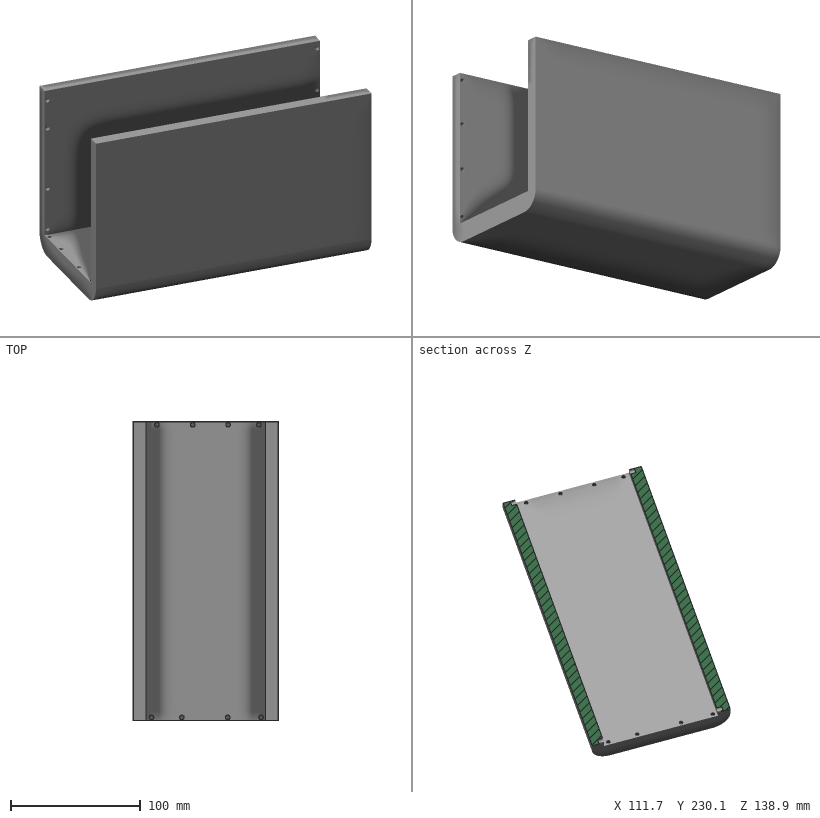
import cadquery as cq

width = 111.66
length = 230.13
height = 138.94

wall_thickness = 10.0
wall_base_z = 15.6
floor_thickness = 15.9
corner_radius = 14.9

hole_diameter = 3.5
hole_depth = 4.0
hole_end_distance = 2.5

floor_front_x = [-41.7, -18.4, 16.9, 42.5]
floor_back_x = [-37.6, -10.0, 17.2, 40.8]
left_wall_front_z = [20.9, 55.3, 106.6, 130.6]
right_wall_front_z = [21.6, 65.4, 105.8, 133.6]
wall_back_z = [21.6, 60.5, 97.3, 133.0]

inner_half_width = width / 2 - wall_thickness
front_hole_y = -length / 2 + hole_end_distance
back_hole_y = length / 2 - hole_end_distance


def make_block(size_x, centre_x, bottom_z, top_z):
    """Full-length rectangular block, centred in Y."""
    return cq.Workplane("XY", origin=(centre_x, 0, bottom_z)).box(
        size_x, length, top_z - bottom_z, centered=(True, True, False)
    )


def make_floor():
    """Floor with rounded lower long edges and a low raised panel between the walls."""
    plate = make_block(width, 0, 0, wall_base_z)
    plate = plate.edges("|Y and <Z").fillet(corner_radius)
    panel = make_block(2 * inner_half_width, 0, wall_base_z, floor_thickness)
    return plate.union(panel)


def make_wall(side):
    """Side wall; side is -1 for the left wall and +1 for the right wall."""
    centre_x = side * (width - wall_thickness) / 2
    return make_block(wall_thickness, centre_x, wall_base_z, height)


def drill(body, mouth, direction):
    """Cut one blind hole from its mouth along a direction, keeping the wall seams."""
    hole = cq.Solid.makeCylinder(
        hole_diameter / 2, hole_depth, cq.Vector(*mouth), cq.Vector(*direction)
    )
    return body.cut(cq.Workplane(hole), clean=False)


def drill_floor(body, y, x_positions):
    """Row of holes down into the floor."""
    for x in x_positions:
        body = drill(body, (x, y, floor_thickness), (0, 0, -1))
    return body


def drill_wall(body, side, y, z_positions):
    """Column of holes outward into one side wall."""
    for z in z_positions:
        body = drill(body, (side * inner_half_width, y, z), (side, 0, 0))
    return body


channel = make_floor()
for wall_side in (-1, 1):
    channel = channel.union(make_wall(wall_side), clean=False)

channel = drill_floor(channel, front_hole_y, floor_front_x)
channel = drill_floor(channel, back_hole_y, floor_back_x)
channel = drill_wall(channel, -1, front_hole_y, left_wall_front_z)
channel = drill_wall(channel, 1, front_hole_y, right_wall_front_z)
for wall_side in (-1, 1):
    channel = drill_wall(channel, wall_side, back_hole_y, wall_back_z)

result = channel